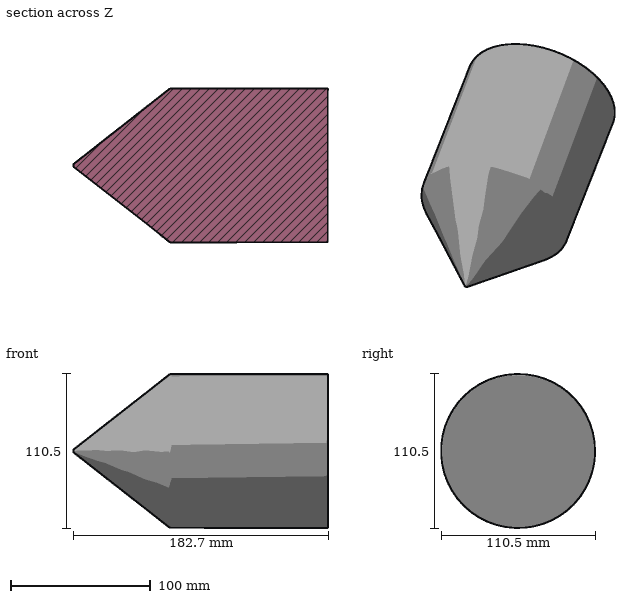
import cadquery as cq
import math

overall_length = 182.7
body_diameter = 110.5
shoulder_x = 69.5
tip_radius = 1.8
shoulder_radius = 2.7
rear_radius = 1.0

body_radius = body_diameter / 2

run_to_shoulder = shoulder_x - tip_radius
distance_to_shoulder = math.hypot(run_to_shoulder, body_radius)
centre_line_angle = math.atan2(body_radius, run_to_shoulder)
cone_half_angle = centre_line_angle - math.asin(tip_radius / distance_to_shoulder)


def tip_point(angle_from_axis):
    """Point on the rounded tip, measured from the forward (-X) direction."""
    return (
        tip_radius * (1 - math.cos(angle_from_axis)),
        tip_radius * math.sin(angle_from_axis),
    )


def pointed_body():
    """Cylinder with a conical nose and a spherical tip, turned about the X axis."""
    tangent_angle = math.pi / 2 - cone_half_angle
    return (
        cq.Workplane("XY")
        .moveTo(0, 0)
        .threePointArc(tip_point(tangent_angle / 2), tip_point(tangent_angle))
        .lineTo(shoulder_x, body_radius)
        .lineTo(overall_length, body_radius)
        .lineTo(overall_length, 0)
        .close()
        .revolve(360, (0, 0, 0), (1, 0, 0))
    )


def round_shoulder(solid):
    """Round the circular edge between the cone and the cylinder."""
    shoulder_edge = cq.selectors.NearestToPointSelector((shoulder_x, 0, 0))
    return solid.edges("%CIRCLE").edges(shoulder_edge).fillet(shoulder_radius)


def round_rear(solid):
    """Round the rim of the flat rear face."""
    return solid.faces(">X").edges().fillet(rear_radius)


result = round_rear(round_shoulder(pointed_body()))